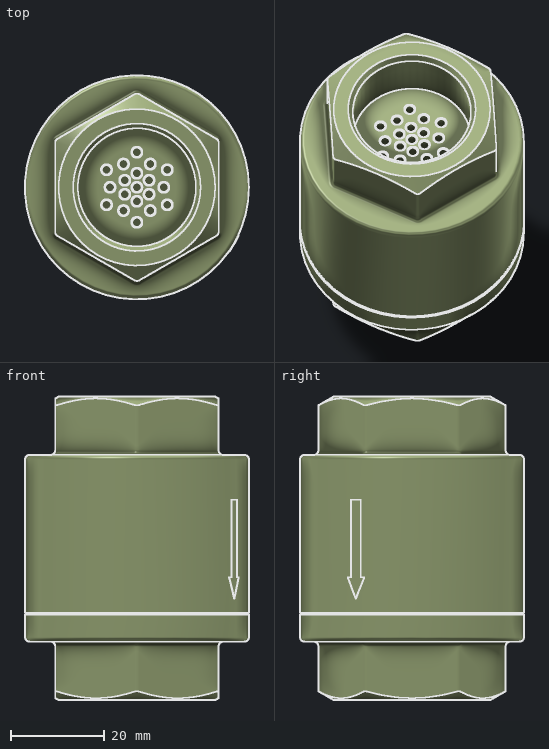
import cadquery as cq
import math

total_height = 65.0
body_height = 40.0
body_diameter = 48.0
body_edge_radius = 1.0
body_radius = body_diameter / 2
hex_height = (total_height - body_height) / 2

hex_across_flats = 35.0
hex_across_corners = hex_across_flats / math.cos(math.radians(30))
hex_corner_radius = 1.0
hex_base_radius = 1.0
end_face_diameter = 33.51
end_chamfer_angle = 30.0
selection_margin = 0.01

socket_diameter = 25.28
socket_depth = hex_height
socket_chamfer = 1.0

hole_diameter = 2.0
hole_depth = 4.0
hole_chamfer = 0.2
holes_per_ring = 6
hole_rings = [(3.0, 30.0), (5.75, 0.0), (7.5, 30.0)]

groove_center_z = -14.0
groove_width = 0.5
groove_depth = groove_width / 2

arrow_angle = -30.0
arrow_relief = 0.1
arrow_tip_z = -10.8
arrow_head_length = 4.6
arrow_head_width = 4.1
arrow_length = 21.2
arrow_shaft_width = 2.4


def make_body():
    """Round body with rounded rims."""
    body = cq.Workplane("XY").circle(body_radius).extrude(body_height / 2, both=True)
    return body.edges().fillet(body_edge_radius)


def make_hex_bar():
    """Hexagonal bar over the full height, its ends turned to a cone."""
    bar = (
        cq.Workplane("XY")
        .polygon(6, hex_across_corners)
        .extrude(total_height / 2, both=True)
        .rotate((0, 0, 0), (0, 0, 1), 30)
        .edges("|Z")
        .fillet(hex_corner_radius)
    )
    end_radius = end_face_diameter / 2
    outer_radius = hex_across_corners / 2
    cone_drop = (outer_radius - end_radius) * math.tan(math.radians(end_chamfer_angle))
    top_z = total_height / 2
    shoulder_z = top_z - cone_drop
    envelope = (
        cq.Workplane("XZ")
        .polyline([
            (0, -top_z),
            (end_radius, -top_z),
            (outer_radius, -shoulder_z),
            (outer_radius, shoulder_z),
            (end_radius, top_z),
            (0, top_z),
        ])
        .close()
        .revolve(360, (0, 0, 0), (0, 1, 0))
    )
    return bar.intersect(envelope)


def round_hex_bases(part):
    """Fillet the inside corners where the hexagons meet the body faces."""
    half_side = hex_across_corners / 2
    for face_z in (-body_height / 2, body_height / 2):
        base_edges = cq.selectors.BoxSelector(
            (-half_side, -half_side, face_z - selection_margin),
            (half_side, half_side, face_z + selection_margin),
            boundingbox=True,
        )
        part = part.edges(base_edges).fillet(hex_base_radius)
    return part


def make_socket():
    """Cutter for the upper port: a bore with a chamfered mouth."""
    top_z = total_height / 2
    bore_radius = socket_diameter / 2
    return (
        cq.Workplane("XZ")
        .polyline([
            (0, top_z - socket_depth),
            (bore_radius, top_z - socket_depth),
            (bore_radius, top_z - socket_chamfer),
            (bore_radius + socket_chamfer, top_z),
            (0, top_z),
        ])
        .close()
        .revolve(360, (0, 0, 0), (0, 1, 0))
    )


def make_hole_cutter():
    """Cutter for one flow hole with a chamfered mouth, its mouth at the origin."""
    hole_radius = hole_diameter / 2
    return (
        cq.Workplane("XZ")
        .polyline([
            (0, -hole_depth),
            (hole_radius, -hole_depth),
            (hole_radius, -hole_chamfer),
            (hole_radius + hole_chamfer, 0),
            (0, 0),
        ])
        .close()
        .revolve(360, (0, 0, 0), (0, 1, 0))
    )


def cut_flow_holes(part):
    """Cut the centre hole and the rings of holes into the upper socket floor."""
    cutter = make_hole_cutter().translate((0, 0, total_height / 2 - socket_depth))
    part = part.cut(cutter)
    for ring_radius, first_angle in hole_rings:
        for index in range(holes_per_ring):
            angle = first_angle + index * 360 / holes_per_ring
            hole = cutter.translate((ring_radius, 0, 0)).rotate((0, 0, 0), (0, 0, 1), angle)
            part = part.cut(hole)
    return part


def make_groove():
    """Cutter for the shallow V-groove around the joint."""
    root_radius = body_radius - groove_depth
    half_width = groove_width / 2
    return (
        cq.Workplane("XZ")
        .polyline([
            (root_radius, groove_center_z),
            (body_radius, groove_center_z - half_width),
            (body_radius, groove_center_z + half_width),
        ])
        .close()
        .revolve(360, (0, 0, 0), (0, 1, 0))
    )


def make_arrow():
    """Arrow prism trimmed to a thin shell that stands out from the cylinder."""
    head_z = arrow_tip_z + arrow_head_length
    tail_z = arrow_tip_z + arrow_length
    prism = (
        cq.Workplane("YZ")
        .polyline([
            (0, arrow_tip_z),
            (arrow_head_width / 2, head_z),
            (arrow_shaft_width / 2, head_z),
            (arrow_shaft_width / 2, tail_z),
            (-arrow_shaft_width / 2, tail_z),
            (-arrow_shaft_width / 2, head_z),
            (-arrow_head_width / 2, head_z),
        ])
        .close()
        .extrude(body_diameter)
        .rotate((0, 0, 0), (0, 0, 1), arrow_angle)
    )
    shell = (
        cq.Workplane("XY")
        .circle(body_radius + arrow_relief)
        .circle(body_radius - arrow_relief)
        .extrude(body_height / 2, both=True)
    )
    return prism.intersect(shell)


part = round_hex_bases(make_body().union(make_hex_bar()))
socket = make_socket()
part = part.cut(socket).cut(socket.mirror("XY"))
part = cut_flow_holes(part)
part = part.cut(make_groove())
result = part.union(make_arrow())